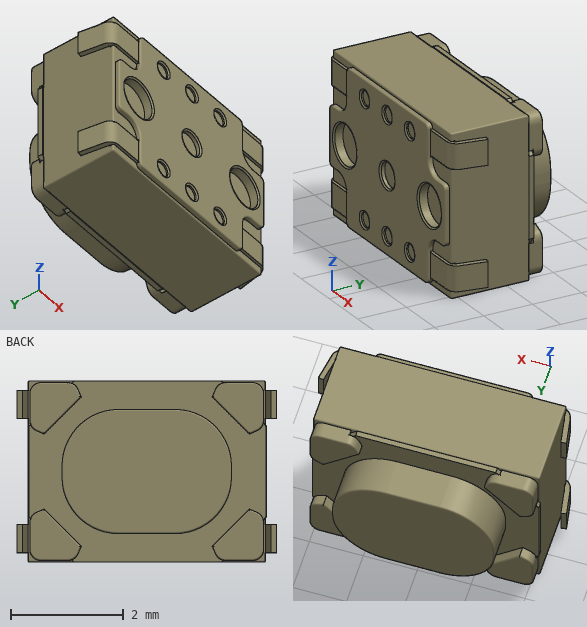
import cadquery as cq
import math


housing_length = 4.2
housing_height = 3.21
edge_radius = 0.03

housing_front = 0.1
housing_back = 1.7
cover_thickness = 0.1
cover_back = housing_back + cover_thickness
stake_back = 2.0
button_end = 2.5

plate_half_length = 2.05
plate_half_height = 1.55
plate_neck_half_length = 1.45
plate_arm_half_height = 0.6
plate_inside_radius = 0.3
plate_corner_radius = 0.1

large_hole_diameter = 0.8
large_hole_depth = 0.2
large_hole_offset = 1.5
centre_hole_diameter = 0.5
centre_hole_depth = 0.1
small_hole_diameter = 0.3
small_hole_pitch = 0.8
small_hole_height = 1.178

stake_side = 0.8
stake_flank_run = 0.11
stake_flank_rise = 0.255
stake_corner_radius = 0.2
stake_foot_gap = 0.03

cover_corner_chamfer = 0.8
cover_shift_x = -0.02

button_length = 3.0
button_height = 2.2
button_corner_radius = 1.0

terminal_span = 4.6
terminal_width = 0.5
terminal_thickness = 0.1
terminal_height = 1.185
terminal_front = 0.06
terminal_bend_radius = 0.1
terminal_bend_angle = 80.0
terminal_leg_length = 0.525
slot_gap = 0.02


def plane_at(depth):
    """Workplane facing -Y at a depth; its local axes are X and Z."""
    return cq.Workplane("XZ", origin=(0, depth, 0))


def box_between(length, height, front, back):
    return plane_at(front).rect(length, height).extrude(front - back)


def mirrored_corners(shape):
    """The shape in the +X +Z corner and its mirror copies in the other three corners."""
    upper = [shape, shape.mirror("YZ")]
    return upper + [copy.mirror("XY") for copy in upper]


def mounting_plate():
    """Cross-shaped plate with concave inner corners, rounded outer corners and a rounded rim."""
    long_arm = box_between(2 * plate_half_length, 2 * plate_arm_half_height, 0, housing_front)
    tall_arm = box_between(2 * plate_neck_half_length, 2 * plate_half_height, 0, housing_front)
    long_arm = long_arm.edges("|Y").fillet(plate_corner_radius)
    tall_arm = tall_arm.edges("|Y").fillet(plate_corner_radius)
    plate = long_arm.union(tall_arm)
    for side_x in (-1, 1):
        for side_z in (-1, 1):
            inner_corner = (
                side_x * plate_neck_half_length,
                housing_front / 2,
                side_z * plate_arm_half_height,
            )
            nearest = cq.selectors.NearestToPointSelector(inner_corner)
            plate = plate.edges("|Y").edges(nearest).fillet(plate_inside_radius)
    return plate.faces("<Y").edges().fillet(edge_radius)


def corner_stake():
    """Stake in the +X +Z corner: an overhanging head on a foot that clears the cover's corner."""
    corner_x = housing_length / 2 - edge_radius
    corner_z = housing_height / 2 - edge_radius
    reach = stake_side + stake_flank_run
    inset_points = [
        (0, 0),
        (stake_side, 0),
        (reach, stake_flank_rise),
        (stake_flank_rise, reach),
        (0, stake_side),
    ]
    outline = [(corner_x - u, corner_z - v) for u, v in inset_points]
    stake = plane_at(housing_back).polyline(outline).close().extrude(housing_back - stake_back)
    rounded_corners = [outline[0], outline[1], outline[4]]
    for x, z in rounded_corners:
        middle = (x, (housing_back + stake_back) / 2, z)
        stake = stake.edges(cq.selectors.NearestToPointSelector(middle)).fillet(stake_corner_radius)
    stake = stake.faces(">Y").edges().fillet(edge_radius)

    diagonal = (
        housing_length / 2 + housing_height / 2 - cover_corner_chamfer
        + abs(cover_shift_x) + math.sqrt(2) * stake_foot_gap
    )
    cover_side = (
        plane_at(housing_back)
        .polyline([(0, 0), (diagonal, 0), (0, diagonal)])
        .close()
        .extrude(-cover_thickness)
    )
    return stake.cut(cover_side)


def blind_hole(x, z, diameter, depth):
    """Cutter for a round hole in the mounting plate, its rim rounded outward."""
    radius = diameter / 2
    profile = (
        cq.Workplane("XY", origin=(x, 0, z))
        .moveTo(0, 0)
        .lineTo(radius + edge_radius, 0)
        .radiusArc((radius, edge_radius), -edge_radius)
        .lineTo(radius, depth)
        .lineTo(0, depth)
        .close()
    )
    return profile.revolve(360, (0, 0, 0), (0, 1, 0))


def mounting_holes():
    holes = [blind_hole(0, 0, centre_hole_diameter, centre_hole_depth)]
    for side_x in (-1, 1):
        holes.append(blind_hole(side_x * large_hole_offset, 0, large_hole_diameter, large_hole_depth))
    for column in (-1, 0, 1):
        for side_z in (-1, 1):
            x = column * small_hole_pitch
            z = side_z * small_hole_height
            holes.append(blind_hole(x, z, small_hole_diameter, terminal_front))
    return holes


def terminal_slots():
    """Slots along the whole length that the terminal strips lie in, open at both ends."""
    back = terminal_front + terminal_thickness + slot_gap
    height = terminal_width + 2 * slot_gap
    slot = box_between(housing_length, height, terminal_front, back)
    return [slot.translate((0, 0, side_z * terminal_height)) for side_z in (-1, 1)]


def build_terminal_strip():
    """Upper strip: a flat right across the part, bent at both ends into a leg that leans outward."""
    angle = math.radians(terminal_bend_angle)
    outer_radius = terminal_bend_radius + terminal_thickness
    leg_x = terminal_leg_length * math.cos(angle)
    leg_y = terminal_leg_length * math.sin(angle)
    bend_x = terminal_span / 2 - leg_x - outer_radius * math.sin(angle)
    bend_y = terminal_front + outer_radius
    flat_back = terminal_front + terminal_thickness

    def on_bend(radius, turned):
        return (bend_x + radius * math.sin(turned), bend_y - radius * math.cos(turned))

    outer_end = on_bend(outer_radius, angle)
    inside_end = on_bend(terminal_bend_radius, angle)
    half = (
        cq.Workplane("XY", origin=(0, 0, terminal_height - terminal_width / 2))
        .moveTo(0, terminal_front)
        .lineTo(bend_x, terminal_front)
        .threePointArc(on_bend(outer_radius, angle / 2), outer_end)
        .lineTo(outer_end[0] + leg_x, outer_end[1] + leg_y)
        .lineTo(inside_end[0] + leg_x, inside_end[1] + leg_y)
        .lineTo(*inside_end)
        .threePointArc(on_bend(terminal_bend_radius, angle / 2), (bend_x, flat_back))
        .lineTo(0, flat_back)
        .close()
        .extrude(terminal_width)
    )
    return half.union(half.mirror("YZ"))


def build_housing(terminal_strips):
    housing = box_between(housing_length, housing_height, housing_front, housing_back)
    housing = housing.edges().fillet(edge_radius)
    housing = housing.union(mounting_plate())
    for stake in mirrored_corners(corner_stake()):
        housing = housing.union(stake)
    for cutter in mounting_holes() + terminal_slots():
        housing = housing.cut(cutter)
    for strip in terminal_strips:
        housing = housing.cut(strip)
    return housing


def build_button():
    button = box_between(button_length, button_height, housing_back, button_end)
    button = button.edges("|Y").fillet(button_corner_radius)
    return button.faces(">Y").edges().fillet(edge_radius)


def build_cover(button):
    cover = box_between(housing_length, housing_height, housing_back, cover_back)
    cover = cover.edges("|Y").chamfer(cover_corner_chamfer)
    return cover.translate((cover_shift_x, 0, 0)).cut(button)


upper_strip = build_terminal_strip()
terminal_strips = [upper_strip, upper_strip.mirror("XY")]
housing = build_housing(terminal_strips)
button = build_button()
cover = build_cover(button)

result = cq.Compound.makeCompound(
    [housing.val(), button.val(), cover.val(), *[strip.val() for strip in terminal_strips]]
)